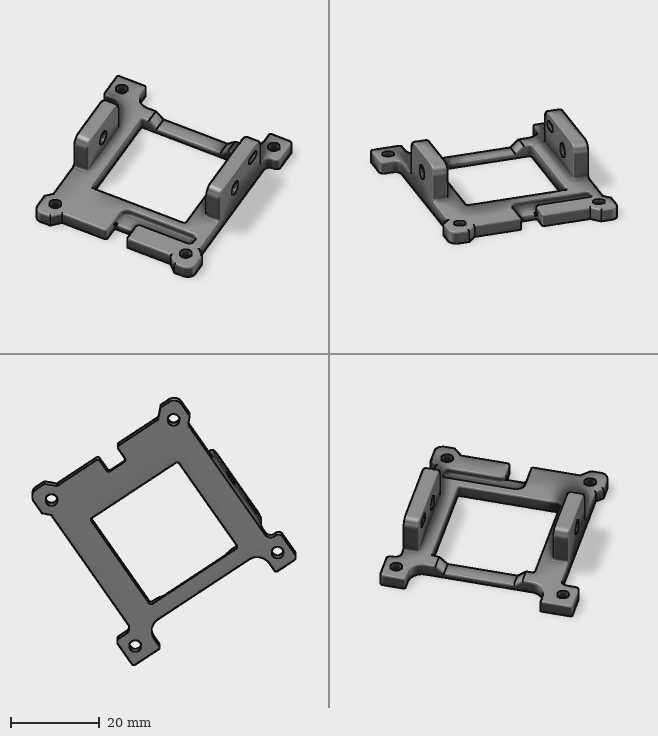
import cadquery as cq

plate_thickness = 3.0
edge_radius = 0.53
body_half_width = 18.65
body_front_y = -22.68
bridge_back_y = 15.8

ear_left_x = -23.13
ear_right_x = 21.65
ear_back_y = 21.66
ear_front_y = 14.54
ear_inner_x = 15.67
ear_corner_radius = 1.0
ear_body_radius = 1.5
ear_bridge_radius = 3.3

lobe_half_width = 20.13
lobe_front_y = -24.68
lobe_back_y = -19.3
lobe_inner_x = 15.8
lobe_corner_radius = 2.0

mount_hole_diameter = 2.7
ear_hole_y = 18.07
ear_left_hole_x = -20.13
ear_right_hole_x = 18.63
lobe_hole_x = 16.62
lobe_hole_y = -20.66

window_width = 23.9
window_length = 24.2
recess_depth = 1.7
recess_top_half_width = 10.1
recess_floor_half_width = 8.1

notch_half_width = 2.5
notch_back_y = -18.8
channel_floor_z = 1.5
channel_back_y = -14.48
channel_front_y = -17.4
channel_end_x = 16.25
channel_turn_radius = 2.0
channel_corner_radius = 1.0

wall_thickness = 3.7
wall_top_z = 11.74
wall_front_y = -8.15
left_wall_back_y = 7.12
right_wall_back_y = 11.95
wall_corner_radius = 2.5
wall_hole_diameter = 3.3
wall_hole_y = -0.72
wall_hole_z = 6.93
wall_slot_width = 1.9
wall_slot_length = 3.8
wall_slot_back_y = 9.67
wall_slot_z = 8.93

bridge_length = bridge_back_y - window_length / 2
wall_center_x = body_half_width - wall_thickness / 2

tolerance = 0.01


def stands_at(center, points):
    """Whether a center lies above one of the (x, y) points."""
    return any(abs(center.x - x) < tolerance and abs(center.y - y) < tolerance for x, y in points)


def round_vertical_edges(solid, points, radius):
    """Fillet the vertical edges that stand at the given (x, y) points."""
    edges = [edge for edge in solid.edges("|Z").vals() if stands_at(edge.Center(), points)]
    return solid.newObject(edges).fillet(radius)


def both_sides(x, y):
    """The point (x, y) and its mirror image across the YZ plane."""
    return [(-x, y), (x, y)]


def make_plate():
    """Flat plate with two ears, two lobes joined by 45 degree flanks, the notch and the window."""
    body_kink_y = lobe_back_y + (lobe_half_width - body_half_width)
    flank_end_x = lobe_inner_x - (body_front_y - lobe_front_y)

    def side_outline(sign, ear_x):
        """Corners of one side, from the bridge round to the front edge."""
        return [
            (sign * ear_inner_x, bridge_back_y),
            (sign * ear_inner_x, ear_back_y),
            (ear_x, ear_back_y),
            (ear_x, ear_front_y),
            (sign * body_half_width, ear_front_y),
            (sign * body_half_width, body_kink_y),
            (sign * lobe_half_width, lobe_back_y),
            (sign * lobe_half_width, lobe_front_y),
            (sign * lobe_inner_x, lobe_front_y),
            (sign * flank_end_x, body_front_y),
        ]

    notch = [
        (notch_half_width, body_front_y),
        (notch_half_width, notch_back_y),
        (-notch_half_width, notch_back_y),
        (-notch_half_width, body_front_y),
    ]
    outline = side_outline(1, ear_right_x) + notch + side_outline(-1, ear_left_x)[::-1]
    plate = cq.Workplane("XY").polyline(outline).close().extrude(plate_thickness)

    ear_corners = [
        (ear_left_x, ear_front_y),
        (ear_right_x, ear_front_y),
        (ear_right_x, ear_back_y),
    ]
    plate = round_vertical_edges(plate, ear_corners, ear_corner_radius)
    plate = round_vertical_edges(plate, both_sides(body_half_width, ear_front_y), ear_body_radius)
    plate = round_vertical_edges(plate, both_sides(ear_inner_x, bridge_back_y), ear_bridge_radius)
    plate = round_vertical_edges(plate, both_sides(lobe_half_width, lobe_front_y), lobe_corner_radius)
    window = cq.Workplane("XY").rect(window_width, window_length).extrude(plate_thickness)
    return plate.cut(window)


def make_recess():
    """Trapezoid that lowers the middle of the bridge between two ramps."""
    return (
        cq.Workplane("XZ", origin=(0, ear_back_y, plate_thickness))
        .polyline([
            (-recess_top_half_width, 0),
            (-recess_floor_half_width, -recess_depth),
            (recess_floor_half_width, -recess_depth),
            (recess_top_half_width, 0),
        ])
        .close()
        .extrude(ear_back_y)
    )


def make_channel():
    """Pocket with a bend, open to the notch and rounded along the foot of its walls."""
    outline = [
        (-notch_half_width, body_front_y),
        (-notch_half_width, channel_back_y),
        (channel_end_x, channel_back_y),
        (channel_end_x, channel_front_y),
        (notch_half_width, channel_front_y),
        (notch_half_width, body_front_y),
    ]
    turn = [(-notch_half_width, channel_back_y)]
    other_corners = [
        (channel_end_x, channel_back_y),
        (channel_end_x, channel_front_y),
        (notch_half_width, channel_front_y),
    ]
    depth = plate_thickness - channel_floor_z
    channel = (
        cq.Workplane("XY", origin=(0, 0, channel_floor_z))
        .polyline(outline)
        .close()
        .extrude(depth)
    )
    channel = round_vertical_edges(channel, turn, channel_turn_radius)
    channel = round_vertical_edges(channel, other_corners, channel_corner_radius)
    return channel.faces("<Z").edges().fillet(edge_radius)


def make_lip_cutter():
    """Bar with a concave quarter-round that rounds the channel floor where it drops into the notch."""
    width = 2 * notch_half_width
    corner = cq.Workplane("XY").box(width, edge_radius, edge_radius, centered=(True, False, False))
    corner = corner.translate((0, notch_back_y, channel_floor_z - edge_radius))
    round_bar = cq.Workplane(
        "YZ", origin=(-notch_half_width, notch_back_y + edge_radius, channel_floor_z - edge_radius)
    ).circle(edge_radius).extrude(width)
    return corner.cut(round_bar)


def make_wall(side, back_y):
    """Upright wall flush with the body side: side is -1 for the left wall and 1 for the right one."""
    length = back_y - wall_front_y
    wall = (
        cq.Workplane("XY")
        .box(wall_thickness, length, wall_top_z, centered=(True, True, False))
        .translate((side * wall_center_x, (back_y + wall_front_y) / 2, 0))
    )
    return wall.edges("|X and >Z").fillet(wall_corner_radius)


def round_edges(body):
    """Fillet the top rims, the wall outlines and feet, and the sharp upright corners of the plate."""
    corners = (
        [(ear_left_x, ear_back_y)]
        + both_sides(ear_inner_x, ear_back_y)
        + both_sides(notch_half_width, body_front_y)
        + both_sides(notch_half_width, notch_back_y)
        + both_sides(window_width / 2, window_length / 2)
        + both_sides(window_width / 2, -window_length / 2)
    )

    def is_rounded(edge):
        c = edge.Center()
        box = edge.BoundingBox()
        on_bottom = box.zmax < tolerance
        if on_bottom:
            return False
        upright = edge.geomType() == "LINE" and box.xlen < tolerance and box.ylen < tolerance
        if upright:
            on_wall = c.z > plate_thickness + tolerance
            return on_wall or stands_at(c, corners)
        wall_arc_end = c.z > plate_thickness + edge_radius and abs(box.xlen - wall_thickness) < tolerance
        recess_crease = c.y > window_length / 2 and abs(box.ylen - bridge_length) < tolerance
        if wall_arc_end or recess_crease:
            return False
        on_bridge = c.y > window_length / 2 - tolerance
        return on_bridge or c.z > plate_thickness - tolerance

    edges = [edge for edge in body.edges().vals() if is_rounded(edge)]
    return body.newObject(edges).fillet(edge_radius)


def mount_holes():
    points = [(ear_left_hole_x, ear_hole_y), (ear_right_hole_x, ear_hole_y)]
    points += both_sides(lobe_hole_x, lobe_hole_y)
    return cq.Workplane("XY").pushPoints(points).circle(mount_hole_diameter / 2).extrude(plate_thickness)


def wall_hole():
    """Bore along X through both walls."""
    return (
        cq.Workplane("YZ")
        .center(wall_hole_y, wall_hole_z)
        .circle(wall_hole_diameter / 2)
        .extrude(body_half_width, both=True)
    )


def wall_slot():
    """Round-ended slot along Y through the right wall only."""
    return (
        cq.Workplane("YZ")
        .center(wall_slot_back_y - wall_slot_length / 2, wall_slot_z)
        .slot2D(wall_slot_length, wall_slot_width)
        .extrude(body_half_width)
    )


body = make_plate().cut(make_recess()).cut(make_channel())
body = body.union(make_wall(-1, left_wall_back_y)).union(make_wall(1, right_wall_back_y))
body = round_edges(body)
result = body.cut(make_lip_cutter()).cut(mount_holes()).cut(wall_hole()).cut(wall_slot())